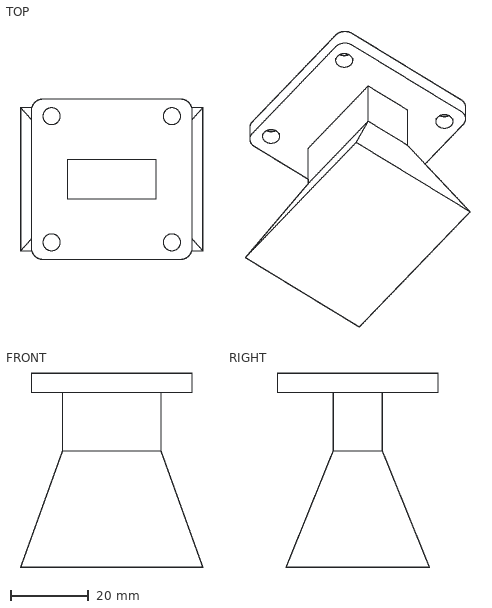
import cadquery as cq

total_height = 50.0

flange_side = 41.4
flange_thickness = 5.0
flange_corner_radius = 3.0
hole_diameter = 4.4
hole_spacing_x = 31.0
hole_spacing_y = 32.5

wall = 1.25
port_x = 22.9
port_y = 10.2
port_recess_depth = 0.15
neck_x = port_x + 2 * wall
neck_y = port_y + 2 * wall

horn_height = 30.0
mouth_x = 47.0
mouth_y = 37.0

flange_bottom = total_height - flange_thickness
neck_height = flange_bottom - horn_height


def make_horn():
    """Solid pyramid frustum from the mouth at Z = 0 up to the neck."""
    return (
        cq.Workplane("XY")
        .rect(mouth_x, mouth_y)
        .workplane(offset=horn_height)
        .rect(neck_x, neck_y)
        .loft(ruled=True)
    )


def make_neck():
    """Straight block between the horn and the flange."""
    return cq.Workplane("XY", origin=(0, 0, horn_height)).rect(neck_x, neck_y).extrude(neck_height)


def make_flange():
    """Rounded square plate."""
    return (
        cq.Workplane("XY", origin=(0, 0, flange_bottom))
        .rect(flange_side, flange_side)
        .extrude(flange_thickness)
        .edges("|Z")
        .fillet(flange_corner_radius)
    )


def make_bolt_holes():
    """Four cylinders that pass through the flange only."""
    return (
        cq.Workplane("XY", origin=(0, 0, flange_bottom))
        .rect(hole_spacing_x, hole_spacing_y, forConstruction=True)
        .vertices()
        .circle(hole_diameter / 2)
        .extrude(flange_thickness)
    )


def make_port_recess():
    """Shallow rectangular recess that marks the waveguide port in the flange face."""
    return (
        cq.Workplane("XY", origin=(0, 0, total_height))
        .rect(port_x, port_y)
        .extrude(-port_recess_depth)
    )


flange = make_flange().cut(make_bolt_holes())
result = make_horn().union(make_neck()).union(flange).cut(make_port_recess())